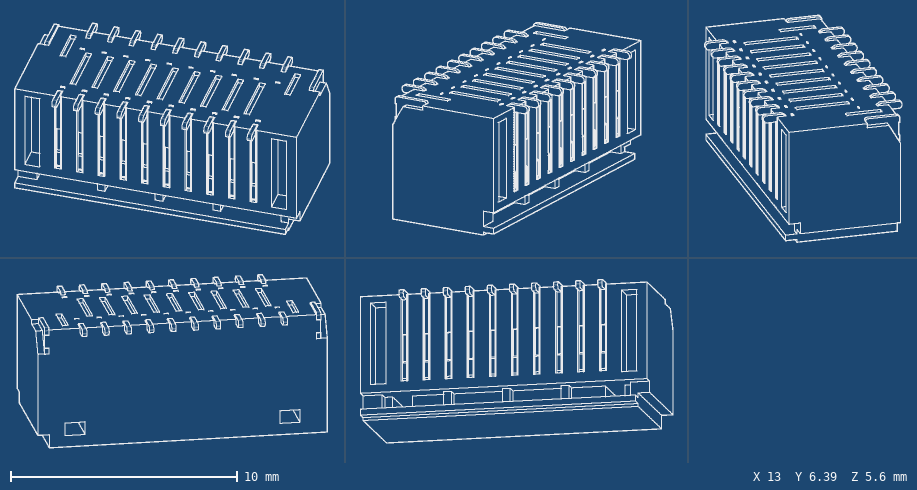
import cadquery as cq
import math

length = 13.0
depth = 5.15
lead_overhang = 0.62
lead_rise = 0.1
overall_height = 5.6
height = overall_height - lead_rise
end_x = length / 2
front_y = -depth / 2
rear_y = depth / 2

contact_count = 10
pitch = 1.0
contact_width = 0.2
lead_height = 0.34
lead_tip_radius = 0.15
lead_bend_radius = 0.2
lead_bend_angle = math.radians(32)
front_lead_inset = 0.43
rear_lead_inset = 0.52

slot_width = 0.3
slot_depth = 0.04
slot_length = 3.91

contact_profile = [
    (0.0, 0.05),
    (1.81, 0.05),
    (1.81, 0.15),
    (3.02, 0.15),
    (3.1, 0.08),
    (3.8, 0.08),
    (slot_length, 0.15),
]

front_slit_width = 0.08
front_slit_offset = 0.74
rear_slit_width = 0.04
rear_slit_offset = 1.35
slit_depth = 0.05
groove_width = 0.26
groove_length = 2.43
groove_offset = 2.83
groove_shift = 0.13
end_groove_length = 1.61
end_groove_offset = 1.31
end_groove_x = 5.17
groove_depth = 0.2

pocket_width = 0.69
pocket_height = 3.69
pocket_depth = 1.0
pocket_inset = 0.47
pocket_drop = 0.31

step_depth = 0.52
flange_bottom = 0.13
flange_top = 0.4
notch_top = 1.12
rib_width = 0.35
rib_pitch = 2.66
opening_end_x = 5.63
opening_depth = 0.52
window_width = 0.9
window_bottom = 0.53
window_x = 4.82
corner_width = 0.52
corner_height = 0.61

tab_width = 0.2
tab_inset = 0.3
tab_length = 1.53
tab_floor_drop = 0.2
tab_slope_run = 0.53
tab_slope_drop = 1.1
tab_lip = 0.05
tab_upper_lip_drop = 0.23
tab_lower_lip_drop = 0.83
tab_edge_radius = 0.12

contact_xs = [(i - (contact_count - 1) / 2) * pitch for i in range(contact_count)]
groove_xs = [x + pitch / 2 - groove_shift for x in contact_xs[:-1]]


def block(x_min, x_max, y_min, y_max, z_min, z_max):
    """Box between the given limits."""
    box = cq.Workplane("XY").box(x_max - x_min, y_max - y_min, z_max - z_min, centered=False)
    return box.translate((x_min, y_min, z_min))


def top_recess(x, y, width, run, sink):
    """Blind rectangular recess in the top face, centred on (x, y)."""
    return block(x - width / 2, x + width / 2, y - run / 2, y + run / 2, height - sink, height)


def extrude_side(profile, x, width):
    """Extrude a (y, z) outline along X, centred on x."""
    return cq.Workplane("YZ").polyline(profile).close().extrude(width / 2, both=True).translate((x, 0, 0))


def make_lower_front(body):
    """Groove, flange, rib openings, through windows and the stepped end corner."""
    step_y = front_y + step_depth
    body = body.cut(block(-end_x, end_x, front_y, step_y, 0, flange_bottom))
    body = body.cut(block(-end_x, end_x, front_y, step_y, flange_top, notch_top))
    opening_back = step_y + opening_depth
    openings = block(-opening_end_x, opening_end_x, step_y, opening_back, flange_top, notch_top)
    for rib_x in (-rib_pitch, 0, rib_pitch):
        rib = block(
            rib_x - rib_width / 2, rib_x + rib_width / 2, step_y, opening_back, flange_top, notch_top
        )
        openings = openings.cut(rib)
    body = body.cut(openings)
    for side in (-1, 1):
        x = side * window_x
        half = window_width / 2
        body = body.cut(block(x - half, x + half, opening_back, rear_y, window_bottom, notch_top))
    return body.cut(block(end_x - corner_width, end_x, front_y, rear_y, 0, corner_height))


def make_front_pockets(body):
    """Tall blind pockets near both ends of the front face."""
    x = end_x - pocket_inset - pocket_width / 2
    top = height - pocket_drop
    for side in (-1, 1):
        left = side * x - pocket_width / 2
        body = body.cut(
            block(left, left + pocket_width, front_y, front_y + pocket_depth, top - pocket_height, top)
        )
    return body


def make_top_recesses(body):
    """Grooves between the contacts, end grooves and slits."""
    for x in groove_xs:
        body = body.cut(top_recess(x, rear_y - groove_offset, groove_width, groove_length, groove_depth))
    for x in (-end_groove_x, end_groove_x):
        y = rear_y - end_groove_offset
        body = body.cut(top_recess(x, y, groove_width, end_groove_length, groove_depth))
    for x in contact_xs:
        front_slit_y = front_y + front_slit_offset
        rear_slit_y = rear_y - rear_slit_offset
        body = body.cut(top_recess(x, front_slit_y, contact_width, front_slit_width, slit_depth))
        body = body.cut(top_recess(x, rear_slit_y, contact_width, rear_slit_width, slit_depth))
    return body


def make_contact_slots(body):
    """Shallow front slots with the stepped contact face set inside each."""
    outline = [(front_y + inset, height - drop) for drop, inset in contact_profile]
    outline += [(front_y, height - slot_length), (front_y, height)]
    for x in contact_xs:
        half = slot_width / 2
        slot = block(x - half, x + half, front_y, front_y + slot_depth, height - slot_length, height)
        body = body.cut(slot).cut(extrude_side(outline, x, contact_width))
    return body


def front_facing_lead(inset):
    """Lead with a rounded tip toward -Y, bending down into the top face `inset` behind the front."""
    top = overall_height
    bottom = top - lead_height
    tip_y = front_y - lead_overhang
    inner_y = front_y + inset
    bend_drop = lead_bend_radius * (1 - math.cos(lead_bend_angle))
    slope_run = (lead_rise - bend_drop) / math.tan(lead_bend_angle)
    bend_end_y = inner_y - slope_run
    bend_start_y = bend_end_y - lead_bend_radius * math.sin(lead_bend_angle)
    bend_mid = (
        bend_start_y + lead_bend_radius * math.sin(lead_bend_angle / 2),
        top - lead_bend_radius * (1 - math.cos(lead_bend_angle / 2)),
    )
    lead = (
        cq.Workplane("YZ")
        .moveTo(tip_y, top)
        .lineTo(bend_start_y, top)
        .threePointArc(bend_mid, (bend_end_y, top - bend_drop))
        .lineTo(inner_y, height)
        .lineTo(inner_y, bottom)
        .lineTo(tip_y, bottom)
        .close()
        .extrude(contact_width / 2, both=True)
    )
    return lead.edges("|X and <Y").fillet(lead_tip_radius)


def add_leads(body):
    """Front and rear rows of leads."""
    front = front_facing_lead(front_lead_inset)
    rear = front_facing_lead(rear_lead_inset).rotate((0, 0, 0), (0, 0, 1), 180)
    for x in contact_xs:
        body = body.union(front.translate((x, 0, 0))).union(rear.translate((x, 0, 0)))
    return body


def add_solder_tabs(body):
    """Cut the upper rear end corners open and leave a flat tab standing in each."""
    tab_front_y = rear_y - tab_length
    floor_z = height - tab_floor_drop
    slope_z = height - tab_slope_drop
    slope = [(tab_front_y, floor_z), (rear_y - tab_slope_run, floor_z), (rear_y, slope_z)]
    relief = slope + [(rear_y, height), (tab_front_y, height)]
    top = overall_height
    lip_y = rear_y + tab_lip
    upper_lip_z = height - tab_upper_lip_drop
    lower_lip_z = height - tab_lower_lip_drop
    tab_outline = slope + [
        (lip_y, slope_z),
        (lip_y, lower_lip_z),
        (rear_y, lower_lip_z),
        (rear_y, upper_lip_z),
        (lip_y, upper_lip_z),
        (lip_y, top),
        (tab_front_y, top),
    ]
    tab = extrude_side(tab_outline, 0, tab_width)
    tab = tab.faces(">Z").edges("|X").fillet(tab_edge_radius)
    for side in (-1, 1):
        body = body.cut(extrude_side(relief, side * (end_x - tab_inset / 2), tab_inset))
        body = body.union(tab.translate((side * (end_x - tab_inset - tab_width / 2), 0, 0)))
    return body


housing = block(-end_x, end_x, front_y, rear_y, 0, height)
housing = make_lower_front(housing)
housing = make_front_pockets(housing)
housing = make_top_recesses(housing)
housing = make_contact_slots(housing)
housing = add_leads(housing)
result = add_solder_tabs(housing)